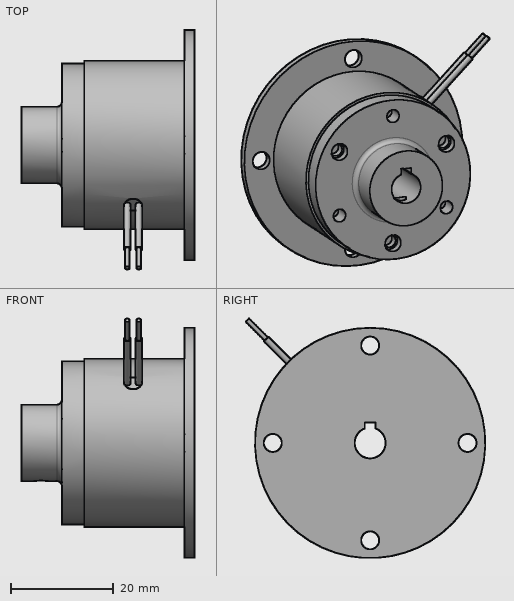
import cadquery as cq
import math

disc_face = 7.9
disc_length = 4.35
body_face = disc_face + disc_length
flange_thickness = 2.0
total_length = 33.85
flange_face = total_length - flange_thickness

hub_radius = 7.5
hub_fillet = 1.0
disc_radius = 15.95
body_radius = 16.5
flange_radius = 45.0 / 2

bore_radius = 3.0
keyway_width = 2.0
keyway_top = 4.0
set_screw_radius = 1.3
set_screw_x = 3.85

flange_hole_radius = 1.75
flange_hole_circle = 19.0
flange_hole_count = 4
disc_hole_radius = 1.25
disc_counterbore_radius = 1.65
disc_hole_circle = 12.75
disc_hole_count = 6
counterbore_depth = disc_length / 2

plug_x = 21.8
plug_radius = 1.65
plug_end = body_radius + 0.05
plug_start = body_radius - 1.4
wire_spacing = 2.25
insulation_radius = 0.65
insulation_end = 28.7
conductor_radius = 0.45
wire_tip = 33.9
wire_direction = cq.Vector(0, -1, 1).normalized()


def axial_cylinder(radius, start, end, y=0, z=0):
    """Cylinder along +X between two stations."""
    return cq.Workplane("YZ", origin=(start, y, z)).circle(radius).extrude(end - start)


def wire_cylinder(radius, x, start, end):
    """Cylinder along the wire direction, between two distances from the part axis."""
    base = cq.Vector(x, 0, 0) + wire_direction * start
    return cq.Workplane(cq.Solid.makeCylinder(radius, end - start, base, wire_direction))


def circle_position(circle_radius, index, count):
    """Y and Z of one hole on a circle; the first hole lies at the top."""
    angle = 2 * math.pi * index / count
    return circle_radius * math.sin(angle), circle_radius * math.cos(angle)


def turned_blank():
    """Hub with root fillet, disc, body and mounting flange."""
    profile = (
        cq.Workplane("XZ")
        .lineTo(0, hub_radius)
        .lineTo(disc_face - hub_fillet, hub_radius)
        .radiusArc((disc_face, hub_radius + hub_fillet), -hub_fillet)
        .lineTo(disc_face, disc_radius)
        .lineTo(body_face, disc_radius)
        .lineTo(body_face, body_radius)
        .lineTo(flange_face, body_radius)
        .lineTo(flange_face, flange_radius)
        .lineTo(total_length, flange_radius)
        .lineTo(total_length, 0)
        .close()
    )
    return profile.revolve(360, (0, 0, 0), (1, 0, 0))


def keyed_bore():
    """Through bore with a keyway at the top."""
    keyway = cq.Workplane("XY").box(
        total_length, keyway_width, keyway_top, centered=(False, True, False)
    )
    return axial_cylinder(bore_radius, 0, total_length).union(keyway)


def set_screw_hole():
    """Radial hole from the underside of the hub into the bore."""
    return cq.Workplane("XY", origin=(set_screw_x, 0, 0)).circle(set_screw_radius).extrude(-disc_radius)


def drill_flange(part):
    """Evenly spaced through holes in the flange."""
    for index in range(flange_hole_count):
        y, z = circle_position(flange_hole_circle, index, flange_hole_count)
        part = part.cut(axial_cylinder(flange_hole_radius, flange_face, total_length, y, z))
    return part


def drill_disc(part):
    """Blind holes in the disc, every second one counterbored."""
    for index in range(disc_hole_count):
        y, z = circle_position(disc_hole_circle, index, disc_hole_count)
        part = part.cut(axial_cylinder(disc_hole_radius, disc_face, body_face, y, z))
        if index % 2 == 1:
            bore_end = disc_face + counterbore_depth
            part = part.cut(axial_cylinder(disc_counterbore_radius, disc_face, bore_end, y, z))
    return part


def add_wires(part):
    """Round plug carrying two insulated wires with bare tips."""
    part = part.union(wire_cylinder(plug_radius, plug_x, plug_start, plug_end))
    for side in (-1, 1):
        x = plug_x + side * wire_spacing / 2
        part = part.union(wire_cylinder(insulation_radius, x, plug_start, insulation_end))
        part = part.union(wire_cylinder(conductor_radius, x, plug_start, wire_tip))
    return part


result = turned_blank().cut(keyed_bore()).cut(set_screw_hole())
result = drill_flange(result)
result = drill_disc(result)
result = add_wires(result)